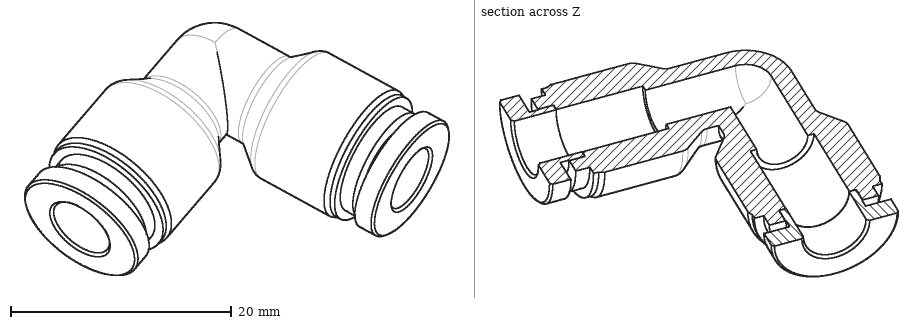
import cadquery as cq
import math

OVERALL_LENGTH = 28.2
BARREL_DIA = 13.0
ARM_END_AT = OVERALL_LENGTH - BARREL_DIA / 2
ARM_TURNS = (0, -90)

TUBE_DIA = 9.0
CONE_START_AT = 5.98
CONE_END_AT = 8.5
BLEND_RADIUS = 1.0
BARREL_END_AT = 16.47
RIM_DIA = 12.55
RIM_START_AT = 16.98
RIM_END_AT = 17.48
COLLAR_DIA = 10.75
COLLAR_END_AT = 18.87

FLOW_BORE_DIA = 5.0
SOCKET_DIA = 6.2
HOSE_STOP_AT = 8.83
SLEEVE_SEAT_AT = 17.35

NECK_DIA = 7.5
SLEEVE_BORE_DIA = 6.15
SLEEVE_BORE_CHAMFER = 0.25
FLANGE_START_AT = 19.68
FLANGE_WIDTH = 12.5
FLANGE_HEIGHT = 11.03
FLANGE_CHAMFER = 0.23


def rod(diameter, start_at, end_at):
    """Solid cylinder along +X between two distances from the elbow centre."""
    return cq.Workplane("YZ", origin=(start_at, 0, 0)).circle(diameter / 2).extrude(end_at - start_at)


def turn_to_arm(body, turn):
    """Turn a body built along +X onto one of the arms."""
    return body.rotate((0, 0, 0), (0, 0, 1), turn)


def make_arm_outside():
    """Revolved arm: tube, cone with blended corners, barrel, rim and collar."""
    tube_r = TUBE_DIA / 2
    barrel_r = BARREL_DIA / 2
    rim_r = RIM_DIA / 2
    collar_r = COLLAR_DIA / 2
    cone_angle = math.atan2(barrel_r - tube_r, CONE_END_AT - CONE_START_AT)
    setback = BLEND_RADIUS * math.tan(cone_angle / 2)
    along = setback * math.cos(cone_angle)
    outward = setback * math.sin(cone_angle)
    return (
        cq.Workplane("XY")
        .moveTo(0, 0)
        .lineTo(0, tube_r)
        .lineTo(CONE_START_AT - setback, tube_r)
        .tangentArcPoint((CONE_START_AT + along, tube_r + outward), relative=False)
        .lineTo(CONE_END_AT - along, barrel_r - outward)
        .tangentArcPoint((CONE_END_AT + setback, barrel_r), relative=False)
        .lineTo(BARREL_END_AT, barrel_r)
        .lineTo(RIM_START_AT, rim_r)
        .lineTo(RIM_END_AT, rim_r)
        .lineTo(RIM_END_AT, collar_r)
        .lineTo(COLLAR_END_AT, collar_r)
        .lineTo(COLLAR_END_AT, 0)
        .close()
        .revolve(360, (0, 0, 0), (1, 0, 0))
    )


def make_arm_inside():
    """Flow bore, hose socket and the recess that holds the sleeve neck."""
    flow_bore = rod(FLOW_BORE_DIA, 0, HOSE_STOP_AT)
    socket = rod(SOCKET_DIA, HOSE_STOP_AT, SLEEVE_SEAT_AT)
    sleeve_recess = rod(NECK_DIA, SLEEVE_SEAT_AT, COLLAR_END_AT)
    return flow_bore.union(socket).union(sleeve_recess)


def make_housing():
    """Two arms joined by a ball at the corner, with the same join inside."""
    outside = cq.Workplane("XY").sphere(TUBE_DIA / 2)
    inside = cq.Workplane("XY").sphere(FLOW_BORE_DIA / 2)
    for turn in ARM_TURNS:
        outside = outside.union(turn_to_arm(make_arm_outside(), turn))
        inside = inside.union(turn_to_arm(make_arm_inside(), turn))
    return outside.cut(inside)


def make_sleeve():
    """Release sleeve along +X: round neck, elliptical flange and through bore."""
    flange = (
        cq.Workplane("YZ", origin=(FLANGE_START_AT, 0, 0))
        .ellipse(FLANGE_WIDTH / 2, FLANGE_HEIGHT / 2)
        .extrude(ARM_END_AT - FLANGE_START_AT)
        .faces(">X")
        .edges()
        .chamfer(FLANGE_CHAMFER)
    )
    neck = rod(NECK_DIA, SLEEVE_SEAT_AT, FLANGE_START_AT)
    bore = rod(SLEEVE_BORE_DIA, SLEEVE_SEAT_AT, ARM_END_AT)
    return (
        flange.union(neck)
        .cut(bore)
        .faces(">X")
        .edges("%CIRCLE")
        .chamfer(SLEEVE_BORE_CHAMFER)
    )


housing = make_housing()
sleeves = [turn_to_arm(make_sleeve(), turn) for turn in ARM_TURNS]

result = cq.Compound.makeCompound([body.solids().val() for body in (housing, *sleeves)])